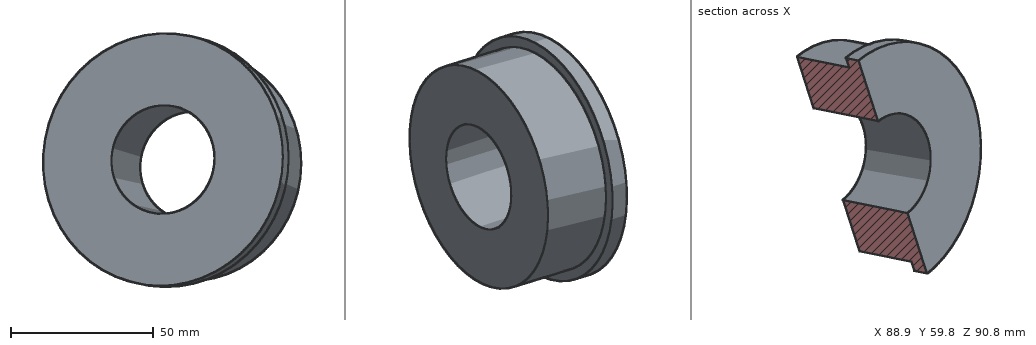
import cadquery as cq

flange_diameter = 88.9
body_diameter = 81.2
bore_diameter = 38.1
flange_thickness = 6.4
total_length = 31.8
tilt_angle = 20.7

face_plane = cq.Plane(origin=(0, 0, 0), xDir=(1, 0, 0), normal=(0, 1, 0))


def cylinder(diameter, length):
    """Cylinder starting at the flange face and running along the bushing axis."""
    return cq.Workplane(face_plane).circle(diameter / 2).extrude(length)


flange = cylinder(flange_diameter, flange_thickness)
body = cylinder(body_diameter, total_length)
bore = cylinder(bore_diameter, total_length)
bushing = flange.union(body).cut(bore)

result = bushing.rotate((0, 0, 0), (1, 0, 0), -tilt_angle)